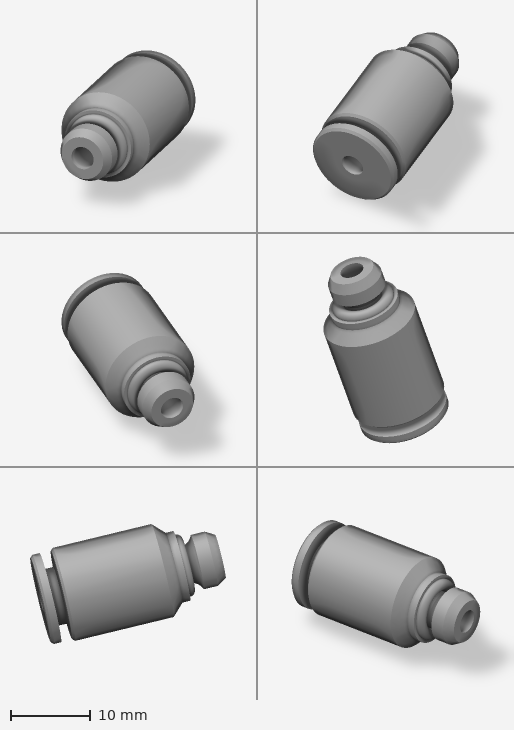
import cadquery as cq

LENGTH = 23.2
BORE_DIAMETER = 3.0

TIP_RADIUS = 2.8
LAND_RADIUS = 7.0 / 2
NECK_RADIUS = 4.9 / 2
LAND_START = 1.2
LAND_END = 2.97
FLARE_LENGTH = 1.1
FLARE_END = LAND_END + FLARE_LENGTH
FLARE_SAG = 0.16

SEAL_OUTER_RADIUS = 4.01
SEAL_TUBE_RADIUS = (SEAL_OUTER_RADIUS - NECK_RADIUS) / 2
SEAL_CENTER_RADIUS = NECK_RADIUS + SEAL_TUBE_RADIUS

COLLAR_RADIUS = 9.0 / 2
COLLAR_START = 4.99
COLLAR_END = 5.99
SEAL_CENTER_Y = COLLAR_START - 0.1
BODY_RADIUS = 12.0 / 2
BODY_START = COLLAR_END + BODY_RADIUS - COLLAR_RADIUS
BODY_END = 20.5
EDGE_CHAMFER = 0.3

RAISED_BASE_RADIUS = 4.48
RAISED_HEIGHT = 0.19

STEM_RADIUS = 7.3 / 2
STEM_FLARE = 0.16
FLANGE_RADIUS = 11.5 / 2
FLANGE_THICKNESS = 1.25
FLANGE_START = LENGTH - FLANGE_THICKNESS


def turned_body():
    """Revolve the outer outline, given as (radius, Y) points, about Y."""
    flare_dr = LAND_RADIUS - NECK_RADIUS
    flare_chord = (flare_dr**2 + FLARE_LENGTH**2) ** 0.5
    flare_middle = (
        (LAND_RADIUS + NECK_RADIUS) / 2 - FLARE_SAG * FLARE_LENGTH / flare_chord,
        (LAND_END + FLARE_END) / 2 - FLARE_SAG * flare_dr / flare_chord,
    )
    outline = (
        cq.Workplane("XY")
        .moveTo(0, 0)
        .lineTo(TIP_RADIUS, 0)
        .lineTo(LAND_RADIUS, LAND_START)
        .lineTo(LAND_RADIUS, LAND_END)
        .threePointArc(flare_middle, (NECK_RADIUS, FLARE_END))
        .lineTo(NECK_RADIUS, COLLAR_START)
        .lineTo(COLLAR_RADIUS, COLLAR_START)
        .lineTo(COLLAR_RADIUS, COLLAR_END)
        .lineTo(BODY_RADIUS, BODY_START)
        .lineTo(BODY_RADIUS, BODY_END - EDGE_CHAMFER)
        .lineTo(BODY_RADIUS - EDGE_CHAMFER, BODY_END)
        .lineTo(RAISED_BASE_RADIUS, BODY_END)
        .lineTo(STEM_RADIUS, BODY_END + RAISED_HEIGHT)
        .lineTo(STEM_RADIUS, FLANGE_START - STEM_FLARE)
        .lineTo(STEM_RADIUS + STEM_FLARE, FLANGE_START)
        .lineTo(FLANGE_RADIUS, FLANGE_START)
        .lineTo(FLANGE_RADIUS, LENGTH - EDGE_CHAMFER)
        .lineTo(FLANGE_RADIUS - EDGE_CHAMFER, LENGTH)
        .lineTo(0, LENGTH)
        .close()
    )
    return outline.revolve(360, (0, 0, 0), (0, 1, 0))


def seal_ring():
    """Round-section ring touching the neck."""
    section = cq.Workplane("XY").center(SEAL_CENTER_RADIUS, SEAL_CENTER_Y).circle(SEAL_TUBE_RADIUS)
    return section.revolve(360, (-SEAL_CENTER_RADIUS, 0, 0), (-SEAL_CENTER_RADIUS, 1, 0))


def through_bore():
    """Cylinder along +Y for the full length of the fitting."""
    return cq.Workplane("XZ").circle(BORE_DIAMETER / 2).extrude(-LENGTH)


result = turned_body().union(seal_ring()).cut(through_bore())